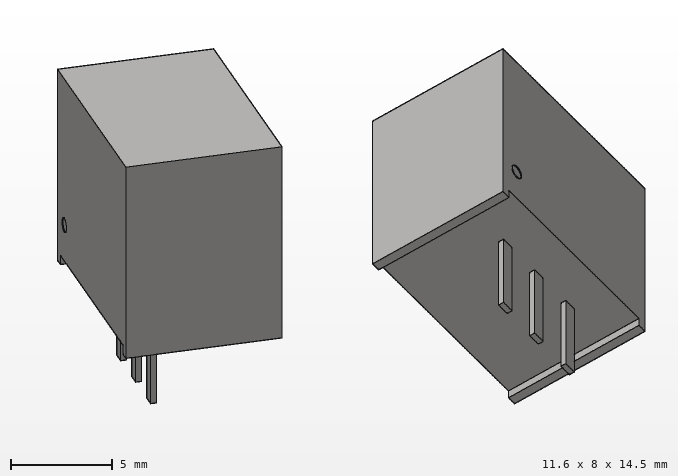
import cadquery as cq

case_width = 11.6
case_depth = 8.0
case_height = 10.4
foot_width = 0.5
standoff_height = 0.5

pin_count = 3
pin_pitch = 2.54
pin_width = 0.7
pin_thickness = 0.3
pin_length_below_feet = 4.1
pin_from_front = 2.3

mark_diameter = 0.75
mark_depth = 0.05
mark_from_left = 1.15
mark_above_feet = 2.45

left_x = -case_width / 2
front_y = -case_depth / 2


def make_case():
    """Block with a full-depth channel underneath, leaving a foot along each side."""
    block = cq.Workplane("XY").box(case_width, case_depth, case_height, centered=(True, True, False))
    channel_width = case_width - 2 * foot_width
    channel = cq.Workplane("XY").box(
        channel_width, case_depth, standoff_height, centered=(True, True, False)
    )
    return block.cut(channel)


def make_pin(x):
    """Flat pin reaching from the channel roof to below the feet."""
    return (
        cq.Workplane("XY")
        .workplane(offset=-pin_length_below_feet)
        .center(x, front_y + pin_from_front)
        .rect(pin_width, pin_thickness)
        .extrude(pin_length_below_feet + standoff_height)
    )


def make_mark():
    """Shallow disc that is cut from the front face."""
    return (
        cq.Workplane("XZ", origin=(0, front_y, 0))
        .center(left_x + mark_from_left, mark_above_feet)
        .circle(mark_diameter / 2)
        .extrude(-mark_depth)
    )


result = make_case()
for index in range(pin_count):
    pin_x = (index - (pin_count - 1) / 2) * pin_pitch
    result = result.union(make_pin(pin_x))
result = result.cut(make_mark())